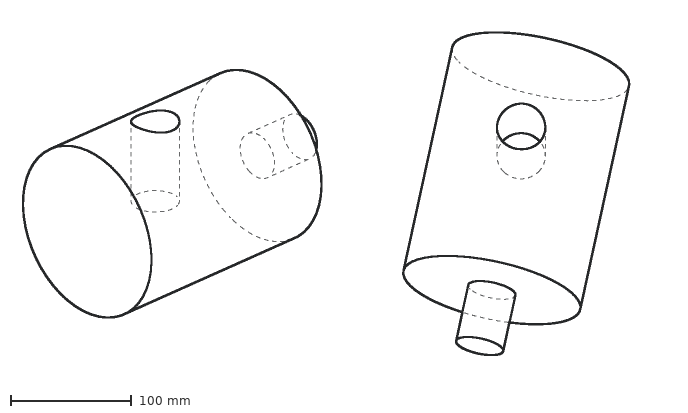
import cadquery as cq

body_diameter = 150.0
body_length = 200.0
stub_diameter = 40.0
stub_length = 50.0
hole_diameter = 40.0
hole_from_front = 80.0

body_radius = body_diameter / 2
hole_depth = body_radius


def cylinder_along_y(diameter, length, start_y):
    """Solid cylinder on the Y axis, running from start_y toward +Y."""
    return cq.Workplane(
        cq.Solid.makeCylinder(
            diameter / 2, length, cq.Vector(0, start_y, 0), cq.Vector(0, 1, 0)
        )
    )


def radial_hole():
    """Cutter for the flat-bottomed hole that enters the body from +Z."""
    floor_z = body_radius - hole_depth
    return (
        cq.Workplane("XY", origin=(0, hole_from_front, floor_z))
        .circle(hole_diameter / 2)
        .extrude(hole_depth)
    )


body = cylinder_along_y(body_diameter, body_length, 0)
stub = cylinder_along_y(stub_diameter, stub_length, body_length)

result = body.union(stub).cut(radial_hole())